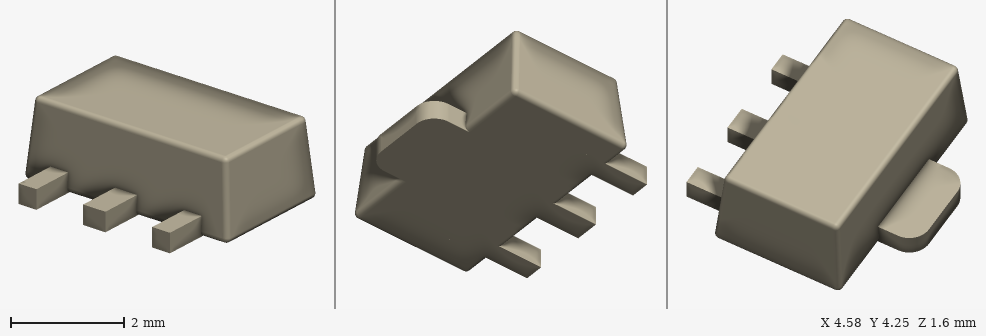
import cadquery as cq
import math

HOUSING_LENGTH = 4.58
HOUSING_WIDTH = 2.585
HOUSING_HEIGHT = 1.6
DRAFT_ANGLE = 5.0
EDGE_RADIUS = 0.1

METAL_THICKNESS = 0.4
LEAD_PITCH = 1.498
SIDE_LEAD_WIDTH = 0.4
CENTRE_LEAD_WIDTH = 0.5
LEAD_REACH = 0.885
TAB_WIDTH = 1.8
TAB_CORNER_RADIUS = 0.4
TOTAL_WIDTH = 4.25

draft = math.radians(DRAFT_ANGLE)
corner_angle = math.pi / 2 - draft
foot_setback = EDGE_RADIUS * (1 / math.tan(corner_angle / 2) - 1)
base_length = HOUSING_LENGTH + 2 * foot_setback
base_width = HOUSING_WIDTH + 2 * foot_setback

lead_tip_y = -HOUSING_WIDTH / 2 - LEAD_REACH
tab_end_y = lead_tip_y + TOTAL_WIDTH
metal_inner_y = 0.0


def make_strip(width, start_y, end_y, centre_x=0.0):
    """Flat metal strip running along Y on the ground plane."""
    return (
        cq.Workplane("XY")
        .box(width, end_y - start_y, METAL_THICKNESS, centered=(True, False, False))
        .translate((centre_x, start_y, 0))
    )


def make_side_lead(centre_x):
    """Straight outer lead."""
    return make_strip(SIDE_LEAD_WIDTH, lead_tip_y, metal_inner_y, centre_x)


def make_tab_lead():
    """Centre lead widening inside the housing into the round-cornered tab."""
    tab = make_strip(TAB_WIDTH, metal_inner_y, tab_end_y)
    tab = tab.edges("|Z and >Y").fillet(TAB_CORNER_RADIUS)
    lead = make_strip(CENTRE_LEAD_WIDTH, lead_tip_y, metal_inner_y)
    return lead.union(tab)


def make_housing(metal_parts):
    """Drafted, rounded block with a matching recess for each metal part."""
    block = (
        cq.Workplane("XY")
        .rect(base_length, base_width)
        .extrude(HOUSING_HEIGHT, taper=DRAFT_ANGLE)
        .edges()
        .fillet(EDGE_RADIUS)
    )
    for metal_part in metal_parts:
        block = block.cut(metal_part)
    return block


side_leads = [make_side_lead(side * LEAD_PITCH) for side in (-1, 1)]
tab_lead = make_tab_lead()
housing = make_housing([*side_leads, tab_lead])

result = cq.Compound.makeCompound(
    [housing.val(), tab_lead.val(), *[lead.val() for lead in side_leads]]
)